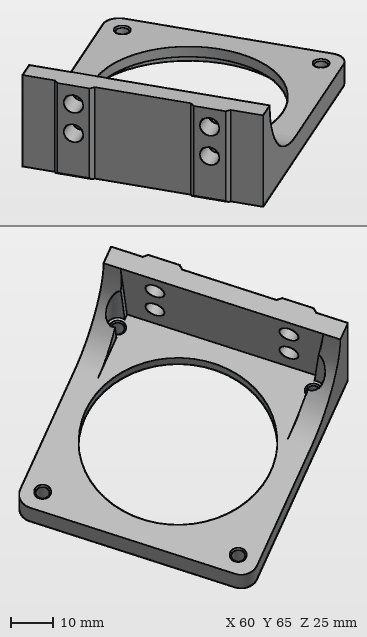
import cadquery as cq
import math

width = 60.0
depth = 65.0
height = 25.0
plate_thickness = 6.0
wall_thickness = 5.0
rail_height = 1.0
corner_radius = 4.0

opening_diameter = 47.0
recess_diameter = 54.0
recess_depth = 3.2

screw_pitch = 49.5
screw_diameter = 3.25
screw_chamfer = 0.4
head_clearance_diameter = 5.6

gusset_width = 6.0
gusset_draft_angle = 5.0

rail_center_x = 16.95
rail_base_width = 10.0
rail_face_width = 8.0
rail_hole_diameter = 4.8
rail_hole_heights = (12.0, 20.0)
rail_bottom_chamfer = 0.5

back_y = width / 2
front_y = back_y - depth
wall_front_y = front_y + rail_height
wall_back_y = wall_front_y + wall_thickness
gusset_radius = height - plate_thickness
through_margin = 0.65
screw_points = [(x * screw_pitch / 2, y * screw_pitch / 2) for x in (-1, 1) for y in (-1, 1)]


def make_plate():
    plate_depth = back_y - wall_front_y
    plate = cq.Workplane("XY").box(width, plate_depth, plate_thickness, centered=(True, False, False))
    plate = plate.translate((0, wall_front_y, 0))
    return plate.edges("|Z and >Y").fillet(corner_radius)


def make_wall():
    wall = cq.Workplane("XY").box(width, wall_thickness, height, centered=(True, False, False))
    return wall.translate((0, wall_front_y, 0))


def make_left_gusset():
    """Concave quarter-round gusset whose inner side leans outwards."""
    arc_shift = gusset_radius * math.sqrt(0.5)
    toe_y = wall_back_y + gusset_radius
    profile = (
        cq.Workplane("YZ", origin=(-width / 2, 0, 0))
        .moveTo(wall_back_y, plate_thickness)
        .lineTo(toe_y, plate_thickness)
        .threePointArc((toe_y - arc_shift, height - arc_shift), (wall_back_y, height))
        .close()
        .extrude(gusset_width)
    )
    top_width = gusset_width - gusset_radius * math.tan(math.radians(gusset_draft_angle))
    section = (
        cq.Workplane("XZ", origin=(0, wall_back_y, 0))
        .moveTo(-width / 2, plate_thickness)
        .lineTo(-width / 2 + gusset_width, plate_thickness)
        .lineTo(-width / 2 + top_width, height)
        .lineTo(-width / 2, height)
        .close()
        .extrude(-gusset_radius)
    )
    return profile.intersect(section)


def make_rail(center_x):
    """Tapered vertical rail with a chamfered lower end."""
    rail = (
        cq.Workplane("XY")
        .moveTo(center_x - rail_base_width / 2, wall_front_y)
        .lineTo(center_x - rail_face_width / 2, front_y)
        .lineTo(center_x + rail_face_width / 2, front_y)
        .lineTo(center_x + rail_base_width / 2, wall_front_y)
        .close()
        .extrude(height)
    )
    return rail.faces("<Y").edges("<Z").chamfer(rail_bottom_chamfer)


def drill_rail_holes(body):
    points = [(x, z) for x in (-rail_center_x, rail_center_x) for z in rail_hole_heights]
    holes = (
        cq.Workplane("XZ", origin=(0, front_y - through_margin, 0))
        .pushPoints(points)
        .circle(rail_hole_diameter / 2)
        .extrude(-(wall_thickness + rail_height + 2 * through_margin))
    )
    return body.cut(holes)


def cut_opening(body):
    opening = cq.Workplane("XY").circle(opening_diameter / 2).extrude(plate_thickness)
    recess = cq.Workplane("XY").circle(recess_diameter / 2).extrude(recess_depth)
    return body.cut(opening).cut(recess)


def cut_screw_holes(body):
    """Through holes with chamfered mouths and head clearance above the plate."""
    screw_radius = screw_diameter / 2
    mouth_base = cq.Vector(0, 0, plate_thickness - screw_chamfer)
    mouth = cq.Workplane(
        cq.Solid.makeCone(screw_radius, screw_radius + screw_chamfer, screw_chamfer, pnt=mouth_base)
    )
    clearance = (
        cq.Workplane("XY", origin=(0, 0, plate_thickness))
        .circle(head_clearance_diameter / 2)
        .extrude(gusset_radius)
    )
    shank = cq.Workplane("XY").circle(screw_radius).extrude(plate_thickness)
    for x, y in screw_points:
        for cutter in (shank, mouth, clearance):
            body = body.cut(cutter.translate((x, y, 0)))
    return body


gusset = make_left_gusset()
body = make_plate().union(make_wall()).union(gusset).union(gusset.mirror("YZ"))
for rail_x in (-rail_center_x, rail_center_x):
    body = body.union(make_rail(rail_x))
body = drill_rail_holes(body)
body = cut_opening(body)
result = cut_screw_holes(body)